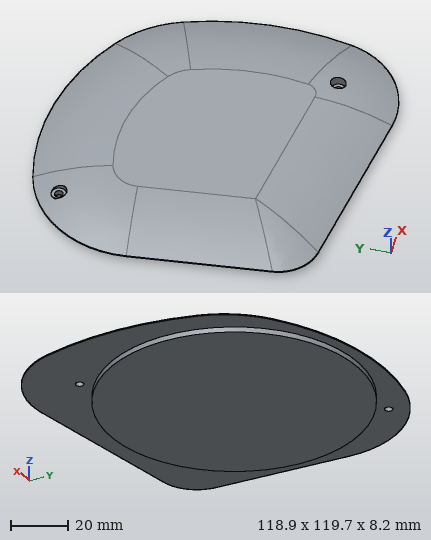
import cadquery as cq
import math

FOOT_RADIUS = 49.9
FOOT_HEIGHT = 2.0
RIM_HEIGHT = 0.5
CROWN_HEIGHT = 5.7
TOTAL_HEIGHT = FOOT_HEIGHT + RIM_HEIGHT + CROWN_HEIGHT
CROWN_WIDTH = 28.1

LEFT_TILT = math.radians(5)
LEFT_DISTANCE = 55.9
FRONT_TILT = math.radians(10)
FRONT_DISTANCE = 58.6
BACK_CENTRE = cq.Vector(-8.6, -28.7)
BACK_RADIUS = 84.1
RIGHT_CENTRE = cq.Vector(-48.8, -16.0)
RIGHT_RADIUS = 110.3

BACK_LEFT_RADIUS = 38.2
BACK_RIGHT_RADIUS = 42.1
FRONT_RIGHT_RADIUS = 29.7
FRONT_LEFT_RADIUS = 15.2
FRONT_RIGHT_TOP_RADIUS = 4.7
FRONT_LEFT_TOP_RADIUS = 0.1

CROWN_STEPS = 6

HOLE_X = 35.3
HOLE_Y = 42.0
HOLE_DIAMETER = 3.0
COUNTERBORE_DIAMETER = 5.5
COUNTERBORE_LIFT = 2.2
COUNTERBORE_FLOOR = FOOT_HEIGHT + COUNTERBORE_LIFT

LEFT_NORMAL = cq.Vector(-math.cos(LEFT_TILT), -math.sin(LEFT_TILT))
FRONT_NORMAL = cq.Vector(-math.sin(FRONT_TILT), -math.cos(FRONT_TILT))


def line_circle_crossing(normal, distance, centre, radius, along):
    """Crossing of a circle with the line at `distance` along `normal`, on the `along` side."""
    gap = distance - normal.dot(centre)
    half_chord = math.sqrt(radius**2 - gap**2)
    direction = cq.Vector(-normal.y, normal.x)
    if direction.dot(along) < 0:
        direction = -direction
    return centre + normal * gap + direction * half_chord


def circle_crossing(centre_a, radius_a, centre_b, radius_b):
    """Crossing of two circles that lies to the left when looking from centre b to centre a."""
    span = centre_a - centre_b
    axis = span.normalized()
    reach = (span.Length**2 + radius_b**2 - radius_a**2) / (2 * span.Length)
    rise = math.sqrt(radius_b**2 - reach**2)
    return centre_b + axis * reach + cq.Vector(-axis.y, axis.x) * rise


def line_crossing(normal_a, distance_a, normal_b, distance_b):
    """Crossing of two lines, each given by its unit normal and distance from the origin."""
    area = normal_a.cross(normal_b).z
    x = (distance_a * normal_b.y - distance_b * normal_a.y) / area
    y = (normal_a.x * distance_b - normal_b.x * distance_a) / area
    return cq.Vector(x, y)


def outline(inset, height):
    """Closed outline moved inwards by `inset`, at the given height."""
    left = LEFT_DISTANCE - inset
    front = FRONT_DISTANCE - inset
    back = BACK_RADIUS - inset
    right = RIGHT_RADIUS - inset

    progress = inset / CROWN_WIDTH
    r_bl = BACK_LEFT_RADIUS - inset
    r_br = BACK_RIGHT_RADIUS - inset
    r_fr = FRONT_RIGHT_RADIUS + (FRONT_RIGHT_TOP_RADIUS - FRONT_RIGHT_RADIUS) * progress
    r_fl = FRONT_LEFT_RADIUS + (FRONT_LEFT_TOP_RADIUS - FRONT_LEFT_RADIUS) * progress

    c_bl = line_circle_crossing(LEFT_NORMAL, left - r_bl, BACK_CENTRE, back - r_bl, cq.Vector(0, 1))
    c_br = circle_crossing(BACK_CENTRE, back - r_br, RIGHT_CENTRE, right - r_br)
    c_fr = line_circle_crossing(FRONT_NORMAL, front - r_fr, RIGHT_CENTRE, right - r_fr, cq.Vector(1, 0))
    c_fl = line_crossing(LEFT_NORMAL, left - r_fl, FRONT_NORMAL, front - r_fl)

    n_back_left = (c_bl - BACK_CENTRE).normalized()
    n_back_right = (c_br - BACK_CENTRE).normalized()
    n_right_back = (c_br - RIGHT_CENTRE).normalized()
    n_right_front = (c_fr - RIGHT_CENTRE).normalized()

    arcs = [
        (c_bl, r_bl, LEFT_NORMAL, n_back_left),
        (BACK_CENTRE, back, n_back_left, n_back_right),
        (c_br, r_br, n_back_right, n_right_back),
        (RIGHT_CENTRE, right, n_right_back, n_right_front),
        (c_fr, r_fr, n_right_front, FRONT_NORMAL),
        (c_fl, r_fl, FRONT_NORMAL, LEFT_NORMAL),
    ]
    start = c_bl + LEFT_NORMAL * r_bl
    path = cq.Workplane("XY", origin=(0, 0, height)).moveTo(start.x, start.y)
    for centre, radius, n_start, n_end in arcs:
        first = centre + n_start * radius
        middle = centre + (n_start + n_end).normalized() * radius
        last = centre + n_end * radius
        if centre is c_fl:
            path = path.lineTo(first.x, first.y)
        path = path.threePointArc((middle.x, middle.y), (last.x, last.y))
    return path.close()


def crown():
    """Domed cap: a circular-arc border, level where it meets the flat top."""
    arc_radius = (CROWN_WIDTH**2 + CROWN_HEIGHT**2) / (2 * CROWN_HEIGHT)
    sections = []
    for step in range(CROWN_STEPS + 1):
        inset = CROWN_WIDTH * step / CROWN_STEPS
        run = CROWN_WIDTH - inset
        drop = arc_radius - math.sqrt(arc_radius**2 - run**2)
        sections.append(outline(inset, TOTAL_HEIGHT - drop).wire().val())
    return cq.Workplane(cq.Solid.makeLoft(sections))


def screw_holes():
    """Cutters for both counterbored through holes."""
    places = [(-HOLE_X, HOLE_Y), (HOLE_X, -HOLE_Y)]
    bores = cq.Workplane("XY").pushPoints(places).circle(HOLE_DIAMETER / 2).extrude(TOTAL_HEIGHT)
    counterbores = (
        cq.Workplane("XY", origin=(0, 0, COUNTERBORE_FLOOR))
        .pushPoints(places)
        .circle(COUNTERBORE_DIAMETER / 2)
        .extrude(TOTAL_HEIGHT - COUNTERBORE_FLOOR)
    )
    return bores.union(counterbores)


foot = cq.Workplane("XY").circle(FOOT_RADIUS).extrude(FOOT_HEIGHT)
rim = outline(0, FOOT_HEIGHT).extrude(RIM_HEIGHT)
result = foot.union(rim).union(crown()).cut(screw_holes())